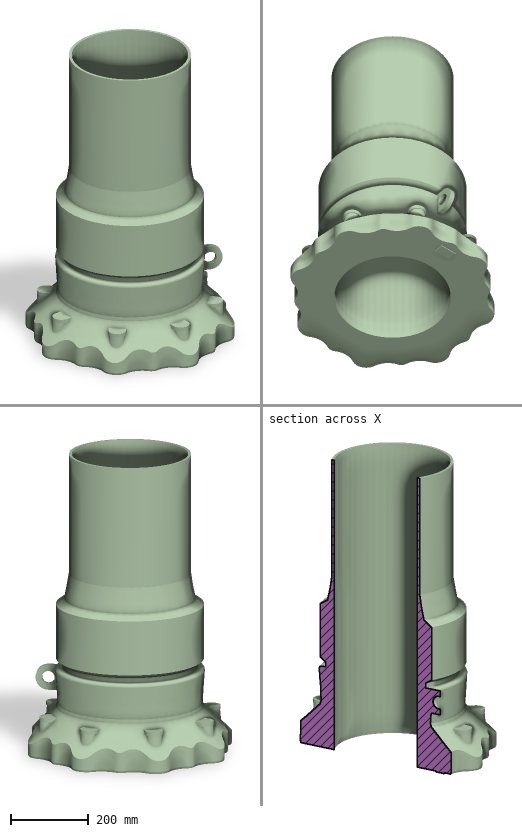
import cadquery as cq
import math

overall_height = 787.0
foot_height = 2.0
chamfer_top = 8.0
bell_top = 119.0
collar_bottom = 128.0
rim_bottom = 214.0
rim_top = 223.0
neck_top = 235.0
body_bottom = 246.0
body_top = 389.5
shoulder_top = 404.5
pipe_bottom = 471.5

bore_radius = 300.0 / 2
pipe_radius = 315.0 / 2
shoulder_radius = 169.0
body_radius = 382.0 / 2
neck_radius = 175.0
rim_radius = 193.0
rim_round = rim_top - rim_bottom
collar_radius = 187.0
bell_top_radius = 190.5

lobe_count = 8
lobe_pitch = 360.0 / lobe_count
long_lobe_reach = 544.5 / 2
short_lobe_reach = 253.5
long_lobe_round = 39.0
short_lobe_round = 24.0
valley_round = 59.0
bottom_chamfer = 1.5
cone_bottom_radius = bell_top_radius + bell_top - foot_height

lug_top = 105.5
lug_lip_bottom = 95.0
lug_bottom = 55.0
lug_lip_width = 46.5
lug_lip_reach = 242.5
lug_stem_width = 37.0
lug_stem_reach = 240.0
lug_draft = 5.0
lug_base_fillet = 4.0
lug_inner_radius = 177.0

eyelet_angle = 67.5
eyelet_reach = 244.0
eyelet_radius = 33.0
eyelet_hole_radius = 16.5
eyelet_thickness = 13.0
eyelet_height = rim_top - eyelet_radius
foot_length = 27.0
foot_width = 46.0
foot_radius = 214.0


def polar(radius, degrees):
    angle = math.radians(degrees)
    return (radius * math.cos(angle), radius * math.sin(angle))


def between(start, end, distance):
    """Point at a given distance from start on the way to end."""
    share = distance / math.dist(start, end)
    return (start[0] + share * (end[0] - start[0]), start[1] + share * (end[1] - start[1]))


def turn(shape, degrees):
    return shape.rotate((0, 0, 0), (0, 0, 1), degrees)


def turned(points):
    return cq.Workplane("XZ").polyline(points).close().revolve(360, (0, 0, 0), (0, 1, 0))


def turned_body():
    rim_round_middle = (
        rim_radius - rim_round * (1 - math.sqrt(0.5)),
        rim_bottom + rim_round * math.sqrt(0.5),
    )
    return (
        cq.Workplane("XZ")
        .moveTo(0, foot_height)
        .lineTo(collar_radius, foot_height)
        .lineTo(collar_radius, collar_bottom)
        .lineTo(rim_radius, rim_bottom)
        .threePointArc(rim_round_middle, (rim_radius - rim_round, rim_top))
        .lineTo(neck_radius, rim_top)
        .lineTo(neck_radius, neck_top)
        .lineTo(body_radius, body_bottom)
        .lineTo(body_radius, body_top)
        .lineTo(shoulder_radius, shoulder_top)
        .lineTo(pipe_radius, pipe_bottom)
        .lineTo(pipe_radius, overall_height)
        .lineTo(0, overall_height)
        .close()
        .revolve(360, (0, 0, 0), (0, 1, 0))
    )


def scallop_outline():
    """Long and short lobes in turn, joined by hollow arcs tangent to both."""
    long_centre_radius = long_lobe_reach - long_lobe_round
    short_centre_radius = short_lobe_reach - short_lobe_round
    long_centre = (long_centre_radius, 0.0)
    short_centre = polar(short_centre_radius, lobe_pitch / 2)

    gap = math.dist(long_centre, short_centre)
    long_span = long_lobe_round + valley_round
    short_span = short_lobe_round + valley_round
    along = (long_span**2 - short_span**2 + gap**2) / (2 * gap)
    outward = math.sqrt(long_span**2 - along**2)
    split_point = between(long_centre, short_centre, along)
    step_x = (short_centre[0] - long_centre[0]) / gap
    step_y = (short_centre[1] - long_centre[1]) / gap
    valley_centre = (split_point[0] + outward * step_y, split_point[1] - outward * step_x)

    points = {
        "long_end": between(long_centre, valley_centre, long_lobe_round),
        "valley": between(valley_centre, (0.0, 0.0), valley_round),
        "short_start": between(short_centre, valley_centre, short_lobe_round),
    }
    radius = {name: math.hypot(*point) for name, point in points.items()}
    angle = {name: math.degrees(math.atan2(point[1], point[0])) for name, point in points.items()}

    outline = cq.Workplane("XY").workplane(offset=foot_height)
    outline = outline.moveTo(*polar(radius["long_end"], -angle["long_end"]))
    for index in range(lobe_count):
        long_angle = index * lobe_pitch
        short_angle = long_angle + lobe_pitch / 2
        next_angle = long_angle + lobe_pitch
        long_end = polar(radius["long_end"], long_angle + angle["long_end"])
        rising_valley = polar(radius["valley"], long_angle + angle["valley"])
        short_start = polar(radius["short_start"], long_angle + angle["short_start"])
        short_end = polar(radius["short_start"], next_angle - angle["short_start"])
        falling_valley = polar(radius["valley"], next_angle - angle["valley"])
        next_start = polar(radius["long_end"], next_angle - angle["long_end"])
        outline = (
            outline.threePointArc(polar(long_lobe_reach, long_angle), long_end)
            .threePointArc(rising_valley, short_start)
            .threePointArc(polar(short_lobe_reach, short_angle), short_end)
            .threePointArc(falling_valley, next_start)
        )
    return outline.close()


def lug_outline(height, width, reach):
    """Straight-sided tongue with a round outer end."""
    round_centre = reach - width / 2
    return (
        cq.Workplane("XY")
        .workplane(offset=height)
        .moveTo(lug_inner_radius, -width / 2)
        .lineTo(round_centre, -width / 2)
        .threePointArc((reach, 0), (round_centre, width / 2))
        .lineTo(lug_inner_radius, width / 2)
        .close()
    )


def lug_stem():
    return lug_outline(lug_top, lug_stem_width, lug_stem_reach).extrude(lug_bottom - lug_top, taper=-lug_draft)


def lug_lip():
    return lug_outline(lug_lip_bottom, lug_lip_width, lug_lip_reach).extrude(lug_top - lug_lip_bottom)


def around_axis(shape):
    """One copy of the shape on every long lobe."""
    copies = shape
    for index in range(1, lobe_count):
        copies = copies.union(turn(shape, index * lobe_pitch))
    return copies


def scalloped_bell():
    """Cone with lug stems blended into it, trimmed by the wavy outline."""
    cone = turned([
        (0, foot_height),
        (cone_bottom_radius, foot_height),
        (bell_top_radius, bell_top),
        (collar_radius, collar_bottom),
        (0, collar_bottom),
    ])
    bell = turn(cone, lobe_pitch / 4).union(around_axis(lug_stem()))
    stem_zone = cq.selectors.BoxSelector(
        (-long_lobe_reach, -long_lobe_reach, lug_bottom),
        (long_lobe_reach, long_lobe_reach, lug_lip_bottom),
    )
    bell = bell.edges(stem_zone).edges("not %LINE").fillet(lug_base_fillet)
    prism = scallop_outline().extrude(collar_bottom - foot_height)
    prism = prism.faces("<Z").chamfer(chamfer_top - foot_height, bottom_chamfer)
    return bell.intersect(prism)


def eyelet():
    """Flat tongue in a radial plane with a round hole."""
    centre = eyelet_reach - eyelet_radius
    tongue = (
        cq.Workplane("XZ")
        .moveTo(neck_radius, eyelet_height - eyelet_radius)
        .lineTo(centre, eyelet_height - eyelet_radius)
        .threePointArc((eyelet_reach, eyelet_height), (centre, eyelet_height + eyelet_radius))
        .lineTo(neck_radius, eyelet_height + eyelet_radius)
        .close()
        .extrude(eyelet_thickness / 2, both=True)
    )
    hole = (
        cq.Workplane("XZ")
        .center(centre, eyelet_height)
        .circle(eyelet_hole_radius)
        .extrude(eyelet_thickness, both=True)
    )
    return tongue.cut(hole)


def foot_pad():
    return (
        cq.Workplane("XY")
        .center(foot_radius, 0)
        .rect(foot_length, foot_width)
        .extrude(chamfer_top)
    )


result = scalloped_bell().union(turned_body())
result = result.union(around_axis(lug_lip()))
result = result.union(turn(eyelet(), eyelet_angle))
result = result.union(turn(foot_pad(), eyelet_angle))

bore = cq.Workplane("XY").circle(bore_radius).extrude(overall_height)
result = result.cut(bore)